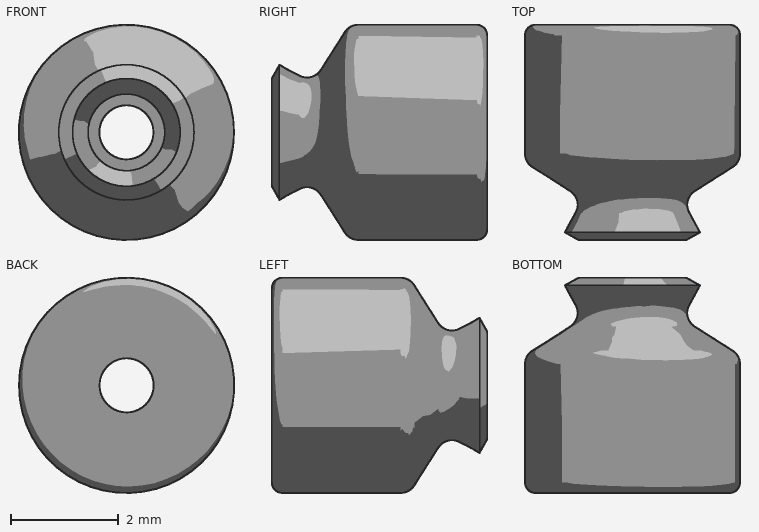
import cadquery as cq
import math

length = 4.0
body_radius = 2.0
back_fillet = 0.2
blend_radius = 0.3
shoulder_start = 1.61
neck_radius = 1.02
neck_position = 0.655
lip_radius = 1.255
lip_position = 0.145
mouth_radius = 1.0
floor_radius = 0.71
mouth_depth = 0.5
bore_radius = 0.5
flare_angle = 30.0


def arc_point(center, angle):
    """Point on a blend arc; angle in degrees from the +radius direction toward +Y."""
    a = math.radians(angle)
    radius, y = center
    return (radius + blend_radius * math.cos(a), y + blend_radius * math.sin(a))


neck_center = (neck_radius + blend_radius, neck_position)
shoulder_center = (body_radius - blend_radius, shoulder_start)
center_rise = shoulder_center[0] - neck_center[0]
center_run = shoulder_center[1] - neck_center[1]
center_distance = math.hypot(center_rise, center_run)
shoulder_angle = math.degrees(
    math.atan2(center_rise, center_run) + math.asin(2 * blend_radius / center_distance)
)

fillet_diagonal = back_fillet * (1 - math.sqrt(0.5))

profile = (
    cq.Workplane("XY")
    .moveTo(bore_radius, mouth_depth)
    .lineTo(floor_radius, mouth_depth)
    .lineTo(mouth_radius, 0)
    .lineTo(lip_radius, lip_position)
    .lineTo(*arc_point(neck_center, 180 + flare_angle))
    .threePointArc(arc_point(neck_center, 180), arc_point(neck_center, 180 - shoulder_angle))
    .lineTo(*arc_point(shoulder_center, -shoulder_angle))
    .threePointArc(arc_point(shoulder_center, -shoulder_angle / 2), (body_radius, shoulder_start))
    .lineTo(body_radius, length - back_fillet)
    .threePointArc(
        (body_radius - fillet_diagonal, length - fillet_diagonal),
        (body_radius - back_fillet, length),
    )
    .lineTo(bore_radius, length)
    .close()
)

result = profile.revolve(360, (0, 0, 0), (0, 1, 0))